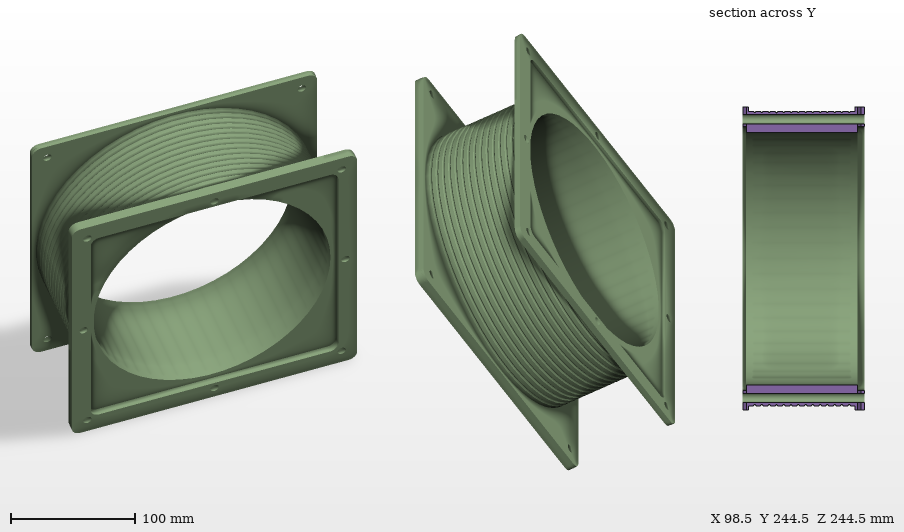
import cadquery as cq
plate_side = 244.5
total_length = 98.5
frame_thickness = 3.0
flange_thickness = 2.2
frame_corner_radius = 7.3
flange_corner_radius = 8.0

bore_diameter = 203.2
window_side = 212.2
window_corner_radius = 7.3

hole_diameter = 7.0
corner_hole_offset = 109.0
side_hole_offset = 112.2

barrel_diameter = 237.9
groove_count = 14
groove_width = 2.5
groove_depth = groove_width / 2

spool_start = frame_thickness
spool_end = total_length - 2 * frame_thickness
spool_length = spool_end - spool_start
barrel_start = spool_start + flange_thickness
barrel_length = spool_length - 2 * flange_thickness
land_width = (barrel_length - groove_count * groove_width) / (groove_count + 1)
groove_pitch = land_width + groove_width
frame_starts = [0, spool_end, spool_end + frame_thickness]


def cross_plane(start):
    """Workplane across the axis at the given X."""
    return cq.Workplane("YZ", origin=(start, 0, 0))


def rounded_plate(start, thickness, side, radius):
    return cross_plane(start).rect(side, side).extrude(thickness).edges("|X").fillet(radius)


def bolt_holes(start, length):
    """Four corner holes and one hole at the middle of each side."""
    c = corner_hole_offset
    s = side_hole_offset
    points = [(c, c), (c, -c), (-c, c), (-c, -c), (s, 0), (-s, 0), (0, s), (0, -s)]
    return cross_plane(start).pushPoints(points).circle(hole_diameter / 2).extrude(length)


def make_frame(start):
    """Square frame with a rounded square window."""
    frame = rounded_plate(start, frame_thickness, plate_side, frame_corner_radius)
    window = rounded_plate(start, frame_thickness, window_side, window_corner_radius)
    return frame.cut(window).cut(bolt_holes(start, frame_thickness))


def groove_ring(center):
    """Triangular ring that cuts one V groove around the barrel."""
    radius = barrel_diameter / 2
    half_width = groove_width / 2
    profile = (
        cq.Workplane("XY")
        .moveTo(center - half_width, radius)
        .lineTo(center, radius - groove_depth)
        .lineTo(center + half_width, radius)
        .close()
    )
    return profile.revolve(360, (0, 0, 0), (1, 0, 0))


def make_spool():
    """Grooved barrel between two square flanges, bored through."""
    spool = cross_plane(spool_start).circle(barrel_diameter / 2).extrude(spool_length)
    first_groove = barrel_start + land_width + groove_width / 2
    for index in range(groove_count):
        spool = spool.cut(groove_ring(first_groove + index * groove_pitch))
    for start in (spool_start, spool_end - flange_thickness):
        spool = spool.union(rounded_plate(start, flange_thickness, plate_side, flange_corner_radius))
    bore = cross_plane(spool_start).circle(bore_diameter / 2).extrude(spool_length)
    return spool.cut(bore).cut(bolt_holes(spool_start, spool_length))


spool = make_spool()
frames = [make_frame(start) for start in frame_starts]

result = cq.Compound.makeCompound([spool.val(), *[frame.val() for frame in frames]])